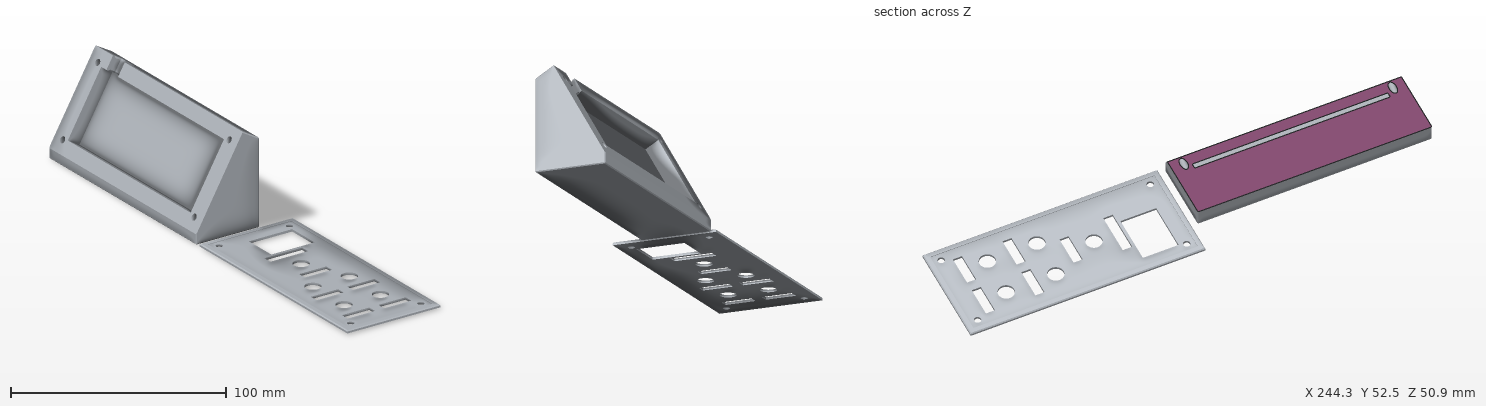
import cadquery as cq
import math

case_length = 120.1
case_depth = 35.7
case_lip_height = 5.4
face_angle = 60
face_length = 52.5
edge_chamfer = 0.5

pocket_length = 100.0
pocket_width = 37.5
pocket_depth = 7.5

slot_center_x = 19.0
slot_width = 9.5
slot_depth = 5.4
slot_flare = 0.7
slot_lip = 1.2

screw_dia = 3.5
screw_pitch_x = 107.2
screw_pitch_y = 39.5
screw_hole_depth = 7.5

panel_gap = 3.7
panel_length = 120.5
panel_width = face_length
panel_thickness = 1.5
panel_center_y = 25.6
panel_bottom_z = 0.7
rim_width = 2.7
rim_height = 0.2

window_length = 18.3
window_width = 24.5
window_center = (-40.8, 6.5)
side_slot_length = 5.0
side_slot_width = 21.2
side_slot_center = (-27.5, 0)
knob_dia = 8.0
label_slot_length = 4.6
label_slot_width = 15.5
knob_to_label = 11.7
single_knob_x = -15.5
knob_columns_x = (9.0, 34.5)
knob_row_y = 10.3

angle = math.radians(face_angle)
apex_y = face_length * math.cos(angle)
apex_z = case_lip_height + face_length * math.sin(angle)
back_z = apex_z - (case_depth - apex_y) / math.tan(angle)


def face_plane():
    """Plane on the middle of the sloped face: x along the case, y up the slope."""
    return cq.Plane(
        origin=(case_length / 2, apex_y / 2, (case_lip_height + apex_z) / 2),
        xDir=(1, 0, 0),
        normal=(0, -math.sin(angle), math.cos(angle)),
    )


def screw_holes(plane, depth):
    """Four holes at the corners of the screw pattern, drilled below the plane."""
    corners = cq.Workplane(plane).rect(screw_pitch_x, screw_pitch_y, forConstruction=True).vertices()
    return corners.circle(screw_dia / 2).extrude(-depth)


def case_blank():
    """Wedge with every edge chamfered except those around the sloped face."""
    profile = [(0, 0), (case_depth, 0), (case_depth, back_z), (apex_y, apex_z), (0, case_lip_height)]
    blank = cq.Workplane("YZ").polyline(profile).close().extrude(case_length)
    sloped_face = blank.faces(cq.selectors.DirectionMinMaxSelector(face_plane().zDir))
    kept = {edge.hashCode() for edge in sloped_face.edges().vals()}
    return blank.newObject([e for e in blank.edges().vals() if e.hashCode() not in kept]).chamfer(edge_chamfer)


def slot_mouth_flare(slope_position, inward):
    """Tapered recess at a slot mouth, narrowing as it runs inward (+1 up the slope, -1 down it)."""
    width = slot_width + 2 * slot_flare
    depth = slot_depth + slot_flare - slot_lip
    center = face_plane().toWorldCoords(
        (slot_center_x - case_length / 2, slope_position, -slot_lip - depth / 2))
    mouth = cq.Plane(origin=center, xDir=(1, 0, 0), normal=face_plane().yDir * inward)
    return cq.Workplane(mouth).rect(width, depth).extrude(slot_flare, taper=45)


def cable_slot():
    """Slot running up the slope from the pocket and out of the top, flared at both ends."""
    pocket_end = pocket_width / 2
    case_end = face_length / 2
    slot = (cq.Workplane(face_plane())
            .center(slot_center_x - case_length / 2, (pocket_end + case_end) / 2)
            .rect(slot_width, case_end - pocket_end)
            .extrude(-slot_depth))
    return slot.union(slot_mouth_flare(pocket_end, 1)).union(slot_mouth_flare(case_end, -1))


def make_case():
    pocket = cq.Workplane(face_plane()).rect(pocket_length, pocket_width).extrude(-pocket_depth)
    return case_blank().cut(pocket).cut(cable_slot()).cut(screw_holes(face_plane(), screw_hole_depth))


def make_panel():
    center_x = case_length + panel_gap + panel_length / 2
    top = cq.Plane(origin=(center_x, panel_center_y, panel_bottom_z + panel_thickness))
    sheet = cq.Workplane(top)

    panel = sheet.rect(panel_length, panel_width).extrude(-panel_thickness)
    panel = panel.faces(">Z").edges().chamfer(edge_chamfer)
    inside_rim = sheet.rect(panel_length - 2 * rim_width, panel_width - 2 * rim_width)
    panel = panel.cut(inside_rim.extrude(-rim_height))

    knobs = [(single_knob_x, 0)] + [(x, y) for x in knob_columns_x for y in (-knob_row_y, knob_row_y)]
    labels = [(x + knob_to_label, y) for x, y in knobs]
    through = -panel_thickness
    openings = [
        sheet.center(*window_center).rect(window_length, window_width).extrude(through),
        sheet.center(*side_slot_center).rect(side_slot_length, side_slot_width).extrude(through),
        sheet.pushPoints(knobs).circle(knob_dia / 2).extrude(through),
        sheet.pushPoints(labels).rect(label_slot_length, label_slot_width).extrude(through),
    ]
    for opening in openings:
        panel = panel.cut(opening)
    return panel.cut(screw_holes(top, panel_thickness))


case = make_case()
panel = make_panel()
result = cq.Compound.makeCompound([case.val(), panel.val()])